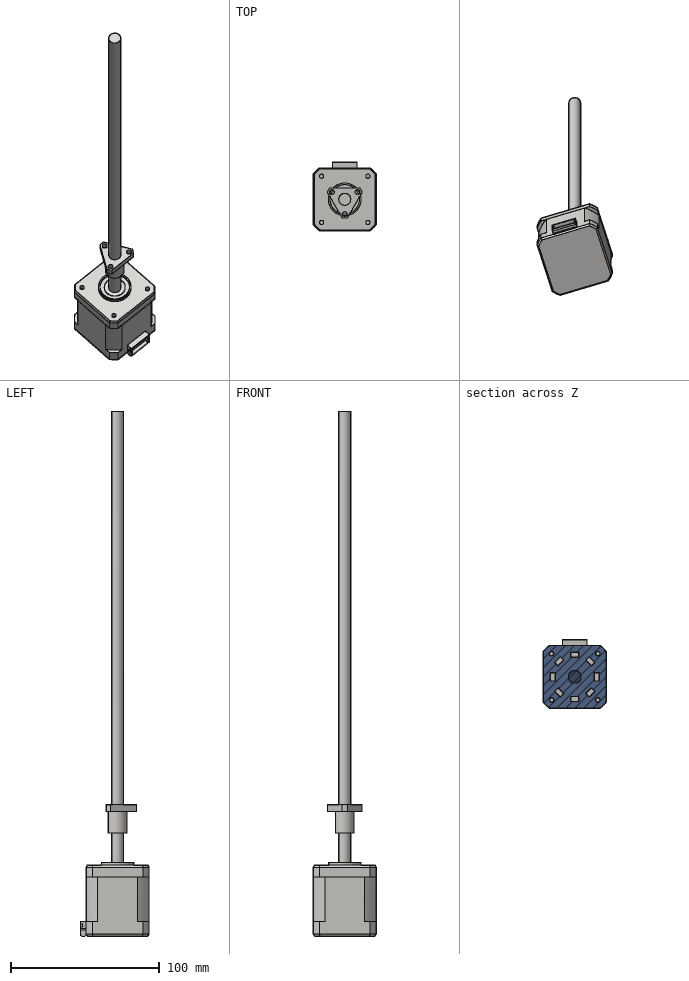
import cadquery as cq
import math

case_width = 42.3
case_corner_radius = 27.0
case_height = 48.0
waist_corner_radius = 25.0
waist_bottom = 10.2
cap_bottom = 40.0
top_chamfer_height = 1.6
top_chamfer_width = 0.7
bottom_chamfer_height = 1.6
bottom_chamfer_width = 1.0

boss_radius = 11.0
boss_height = 1.8
recess_radius = 10.0
recess_depth = 0.7
bearing_seat_radius = 7.0
bearing_seat_depth = 1.0
screw_hole_spacing = 31.0
screw_hole_diameter = 2.8
screw_hole_depth = 4.5
slot_count = 8
slot_center_radius = 14.8
slot_length = 3.0
slot_width = 5.3
slot_roof = 1.38

lead_screw_diameter = 8.0
lead_screw_top = 352.5

nut_bottom = 69.5
nut_diameter = 12.7
flange_bottom = 84.0
flange_top = 88.5
flange_edge_distance = 7.8
flange_corner_radius = 12.7
flange_hole_diameter = 3.0
flange_hole_circle_radius = 10.0
flange_corner_count = 3

connector_width = 16.5
connector_height = 10.2
connector_reach = 25.0
connector_chamfer = 1.0
connector_wall = 1.0
socket_depth = 2.8
side_groove_bottom = 4.2
side_groove_height = 1.0
mouth_notch_bottom = 6.5
mouth_notch_height = 2.0
mouth_notch_length = 1.5
side_recess_depth = 0.5


def cylinder(diameter, bottom, top):
    """Upright cylinder on the motor axis."""
    return cq.Workplane("XY", origin=(0, 0, bottom)).circle(diameter / 2).extrude(top - bottom)


def turned_square(corner_radius, bottom, top):
    """Square prism whose corners are turned down to a cylinder."""
    height = top - bottom
    square = cq.Workplane("XY", origin=(0, 0, bottom)).rect(case_width, case_width).extrude(height)
    return square.intersect(cylinder(2 * corner_radius, bottom, top))


def add_chamfered_end(body, end_face, height, width):
    """Continue the body past its end face by the height, tapering inward by the width."""
    taper_angle = math.degrees(math.atan2(width, height))
    return body.faces(end_face).wires().toPending().workplane().extrude(height, taper=taper_angle)


def make_front_cap():
    """Chamfered cap with a stepped, recessed boss around the lead screw."""
    cap = turned_square(case_corner_radius, cap_bottom, case_height - top_chamfer_height)
    cap = add_chamfered_end(cap, ">Z", top_chamfer_height, top_chamfer_width)
    boss_top = case_height + boss_height
    cap = cap.union(cylinder(2 * boss_radius, case_height, boss_top))
    cap = cap.cut(cylinder(2 * recess_radius, boss_top - recess_depth, boss_top))
    cap = cap.cut(cylinder(2 * bearing_seat_radius, boss_top - bearing_seat_depth, boss_top))
    cap = cap.cut(cylinder(lead_screw_diameter, cap_bottom, boss_top))
    return cap.cut(make_mounting_holes()).cut(make_underside_slots())


def make_mounting_holes():
    """Four blind screw holes at the corners of the cap's top face."""
    return (
        cq.Workplane("XY", origin=(0, 0, case_height))
        .rect(screw_hole_spacing, screw_hole_spacing, forConstruction=True)
        .vertices()
        .circle(screw_hole_diameter / 2)
        .extrude(-screw_hole_depth)
    )


def make_underside_slots():
    """Ring of blind slots in the cap's underside that leave a thin roof below the top face."""
    return (
        cq.Workplane("XY", origin=(0, 0, cap_bottom))
        .polarArray(slot_center_radius, 0, 360, slot_count)
        .rect(slot_length, slot_width)
        .extrude(case_height - slot_roof - cap_bottom)
    )


def make_motor_case():
    """Square base and a waist with deeper-turned corners, up to the front cap."""
    base = turned_square(case_corner_radius, bottom_chamfer_height, waist_bottom)
    base = add_chamfered_end(base, "<Z", bottom_chamfer_height, bottom_chamfer_width)
    return base.union(turned_square(waist_corner_radius, waist_bottom, cap_bottom))


def make_lead_screw():
    return cylinder(lead_screw_diameter, cap_bottom, lead_screw_top)


def make_nut():
    """Barrel under a triangular flange with turned corners and a hole near each corner."""
    triangle_diameter = 4 * flange_edge_distance
    flange_thickness = flange_top - flange_bottom
    triangle = (
        cq.Workplane("XY", origin=(0, 0, flange_bottom))
        .polygon(flange_corner_count, triangle_diameter)
        .extrude(flange_thickness)
        .rotate((0, 0, 0), (0, 0, 1), -90)
    )
    flange = triangle.intersect(cylinder(2 * flange_corner_radius, flange_bottom, flange_top))
    holes = (
        cq.Workplane("XY", origin=(0, 0, flange_bottom))
        .polarArray(flange_hole_circle_radius, -90, 360, flange_corner_count)
        .circle(flange_hole_diameter / 2)
        .extrude(flange_thickness)
    )
    barrel = cylinder(nut_diameter, nut_bottom, flange_bottom)
    return flange.cut(holes).union(barrel).cut(cylinder(lead_screw_diameter, nut_bottom, flange_top))


def connector_block(width, back, front, bottom, height):
    """Block centered on X that runs from back to front along Y and stands on the bottom level."""
    block = cq.Workplane("XY").box(width, front - back, height, centered=(True, False, False))
    return block.translate((0, back, bottom))


def side_recesses(back, bottom, height):
    """Pair of shallow recesses, one in each connector side, that run from back to the open end."""
    outer = connector_block(connector_width, back, connector_reach, bottom, height)
    core_width = connector_width - 2 * side_recess_depth
    return outer.cut(connector_block(core_width, back, connector_reach, bottom, height))


def make_connector():
    """Socket shell on the +Y face of the motor, open toward +Y."""
    case_face = case_width / 2
    shell = connector_block(connector_width, case_face, connector_reach, 0, connector_height)
    shell = shell.edges("<Z and |X").chamfer(connector_chamfer)
    socket = connector_block(
        connector_width - 2 * connector_wall,
        connector_reach - socket_depth,
        connector_reach,
        connector_wall,
        connector_height - 2 * connector_wall,
    )
    notch_back = connector_reach - mouth_notch_length
    mouth_notches = side_recesses(notch_back, mouth_notch_bottom, mouth_notch_height)
    side_grooves = side_recesses(case_face, side_groove_bottom, side_groove_height)
    return shell.cut(socket).cut(mouth_notches).cut(side_grooves)


front_cap = make_front_cap()
motor_case = make_motor_case()
lead_screw = make_lead_screw()
nut = make_nut()
connector = make_connector()
bodies = [front_cap, motor_case, lead_screw, nut, connector]
result = cq.Compound.makeCompound([body.solids().val() for body in bodies])